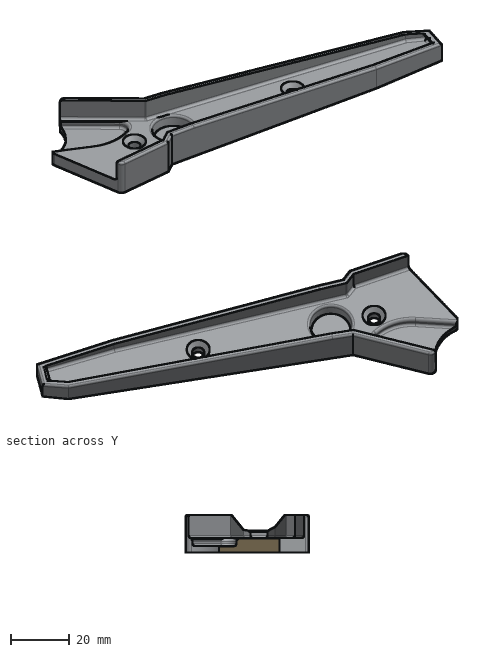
import cadquery as cq
import math

TOTAL_HEIGHT = 13.0
FLOOR_HEIGHT = 5.0
POCKET_FLOOR = 2.3
DISC_FLOOR = 1.0

WALL = 2.0
TOP_FILLET = 0.8
FLOOR_FILLET = 1.0
FLOOR_EDGE = WALL + FLOOR_FILLET
WAIST_INNER_RADIUS = 0.6

SLOPE_START_Y = -28.0
SLOPE = 1 / 18

LIP_REACH = 2.85
LIP_THICKNESS = 0.4

TIP_Y = 72.65
TIP_LEFT = (-0.25, TIP_Y)
TIP_RIGHT = (8.75, TIP_Y)
RIGHT_BEND = (11.6, 45.3)
RIGHT_WAIST = (15.3, -36.8)
RIGHT_HIP = (18.25, -39.9)
RIGHT_FOOT = (21.38, -60.0)
CLAW_TIP = (-5.6, -73.39)
LEFT_FOOT = (-22.95, -62.35)
LEFT_WAIST = (-7.7, -35.1)
LEFT_SHOULDER = (-3.25, 64.25)
RIGHT_FOOT_RADIUS = 2.0
CLAW_TIP_RADIUS = 1.5
LEFT_FOOT_RADIUS = 2.0

BITE_RADIUS = 13.2

HOLE_X = 3.3
HOLE_YS = (-45.0, 17.0)
HOLE_DIAMETER = 4.2
COUNTERSINK_DIAMETER = 7.9
COUNTERSINK_ANGLE = 90

DISC_Y = -29.8
DISC_FLOOR_DIAMETER = 13.29
DISC_WALL_RADIUS = 7.2
DISC_RIM_RADIUS = 0.85

POCKET_APEX = (-6.6, -39.85)
POCKET_BEND = (0.6, -50.8)
POCKET_END = (-7.7, -77.9)
POCKET_APEX_RADIUS = 3.0
POCKET_BEND_RADIUS = 17.0
POCKET_RIM_FILLET = 1.2
POCKET_FLOOR_FILLET = 0.9

REACH = 60.0
END_MARGIN = 1.0
SELECT_MARGIN = 0.1


def beyond(start, end):
    """Point as far past end as start is before it."""
    return (2 * end[0] - start[0], 2 * end[1] - start[1])


def round_corner(body, corner, radius):
    nearest = cq.selectors.NearestToPointSelector((*corner, FLOOR_HEIGHT))
    return body.edges("|Z").edges(nearest).fillet(radius)


def bite_midpoint():
    """Point halfway along the concave arc from the claw tip to the left foot."""
    (x1, y1), (x2, y2) = LEFT_FOOT, CLAW_TIP
    chord = math.hypot(x2 - x1, y2 - y1)
    rise = BITE_RADIUS - math.sqrt(BITE_RADIUS**2 - (chord / 2) ** 2)
    return ((x1 + x2) / 2 - (y2 - y1) / chord * rise, (y1 + y2) / 2 + (x2 - x1) / chord * rise)


def space_above_slope():
    """Wedge of space over the falling wall tops."""
    far_y = SLOPE_START_Y + 2 * REACH
    far_z = TOTAL_HEIGHT - 2 * REACH * SLOPE
    corners = [(SLOPE_START_Y, TOTAL_HEIGHT), (far_y, far_z), (far_y, TOTAL_HEIGHT)]
    return cq.Workplane("YZ").polyline(corners).close().extrude(REACH, both=True)


def top_outline_edges(body):
    """Edges around the two top faces, without the edge that they share."""
    top_faces = [face for face in body.faces().vals() if face.normalAt().z > 0]
    edges = [edge for face in top_faces for edge in face.Edges()]
    return [edge for edge in edges if sum(edge.isSame(other) for other in edges) == 1]


def blank():
    """Full-height body with rounded corners, sloped top and rounded top edge."""
    corners = [
        LEFT_FOOT, LEFT_WAIST, LEFT_SHOULDER, TIP_LEFT, TIP_RIGHT,
        RIGHT_BEND, RIGHT_WAIST, RIGHT_HIP, RIGHT_FOOT, CLAW_TIP,
    ]
    body = cq.Workplane("XY").polyline(corners).threePointArc(bite_midpoint(), LEFT_FOOT).close()
    body = body.extrude(TOTAL_HEIGHT)
    body = round_corner(body, LEFT_FOOT, LEFT_FOOT_RADIUS)
    body = round_corner(body, CLAW_TIP, CLAW_TIP_RADIUS)
    body = round_corner(body, RIGHT_FOOT, RIGHT_FOOT_RADIUS)
    body = body.cut(space_above_slope())
    return body.newObject(top_outline_edges(body)).fillet(TOP_FILLET)


def inside_walls(inset, bottom, height):
    """Prism set in from the walls and open beyond the feet."""
    corners = [
        beyond(LEFT_WAIST, LEFT_FOOT), LEFT_WAIST, LEFT_SHOULDER, TIP_LEFT, TIP_RIGHT,
        RIGHT_BEND, RIGHT_WAIST, RIGHT_HIP, beyond(RIGHT_HIP, RIGHT_FOOT),
    ]
    area = cq.Workplane("XY").workplane(offset=bottom).polyline(corners).close()
    return area.offset2D(-inset, "intersection").extrude(height)


def channel():
    """Space between the walls, rounded where they meet the floor."""
    space = inside_walls(WALL, FLOOR_HEIGHT, TOTAL_HEIGHT)
    for corner in (LEFT_WAIST, RIGHT_WAIST):
        space = round_corner(space, corner, WAIST_INNER_RADIUS)
    return space.faces("<Z").edges().fillet(FLOOR_FILLET)


def tip_lip():
    """Thin shelf under the sloped top, along the tip wall."""
    shelf = space_above_slope().translate((0, 0, -LIP_THICKNESS))
    tip_end = cq.Workplane("XY").box(2 * REACH, LIP_REACH, TOTAL_HEIGHT, centered=(True, False, False))
    return shelf.intersect(tip_end.translate((0, TIP_Y - LIP_REACH, 0)))


def claw_pocket():
    """Pocket with a convex rim and a concave foot, kept clear of the wall fillet."""
    run_per_rise = (LEFT_WAIST[0] - LEFT_FOOT[0]) / (LEFT_WAIST[1] - LEFT_FOOT[1])
    left_end = (POCKET_APEX[0] - (POCKET_APEX[1] - POCKET_END[1]) * run_per_rise, POCKET_END[1])
    hollow = cq.Workplane("XY").workplane(offset=POCKET_FLOOR)
    hollow = hollow.polyline([left_end, POCKET_APEX, POCKET_BEND, POCKET_END]).close()
    hollow = hollow.extrude(FLOOR_HEIGHT)
    hollow = round_corner(hollow, POCKET_APEX, POCKET_APEX_RADIUS)
    hollow = round_corner(hollow, POCKET_BEND, POCKET_BEND_RADIUS)

    block = cq.Workplane("XY").box(2 * REACH, REACH, FLOOR_HEIGHT, centered=(True, False, False))
    block = block.translate((0, POCKET_END[1] + END_MARGIN, 0))
    slab = block.cut(hollow)

    def side_wall_edges(z):
        """Selector for the edges along the pocket wall at height z."""
        low = (-REACH + END_MARGIN, POCKET_END[1] + 2 * END_MARGIN, z - SELECT_MARGIN)
        high = (REACH - END_MARGIN, POCKET_APEX[1] + END_MARGIN, z + SELECT_MARGIN)
        return cq.selectors.BoxSelector(low, high)

    slab = slab.edges(side_wall_edges(FLOOR_HEIGHT)).fillet(POCKET_RIM_FILLET)
    slab = slab.edges(side_wall_edges(POCKET_FLOOR)).fillet(POCKET_FLOOR_FILLET)
    return block.cut(slab).intersect(inside_walls(FLOOR_EDGE, 0, FLOOR_HEIGHT))


def disc_recess():
    """Round recess with a tapered wall and a convex rim, kept clear of the wall fillet."""
    floor_radius = DISC_FLOOR_DIAMETER / 2
    rim_radius = DISC_WALL_RADIUS + DISC_RIM_RADIUS
    rim_start = FLOOR_HEIGHT - DISC_RIM_RADIUS
    half_profile = (
        cq.Workplane("XZ")
        .moveTo(0, DISC_FLOOR)
        .lineTo(floor_radius, DISC_FLOOR)
        .lineTo(DISC_WALL_RADIUS, rim_start)
        .radiusArc((rim_radius, FLOOR_HEIGHT), DISC_RIM_RADIUS)
        .lineTo(0, FLOOR_HEIGHT)
        .close()
    )
    recess = half_profile.revolve(360, (0, 0), (0, 1)).translate((HOLE_X, DISC_Y, 0))
    return recess.intersect(inside_walls(FLOOR_EDGE, 0, FLOOR_HEIGHT))


def drill_screw_holes(body):
    floor = body.copyWorkplane(cq.Workplane("XY").workplane(offset=FLOOR_HEIGHT))
    centers = floor.pushPoints([(HOLE_X, y) for y in HOLE_YS])
    return centers.cskHole(HOLE_DIAMETER, COUNTERSINK_DIAMETER, COUNTERSINK_ANGLE)


tray = blank().cut(channel().cut(tip_lip()))
tray = tray.cut(claw_pocket()).cut(disc_recess())
result = drill_screw_holes(tray)